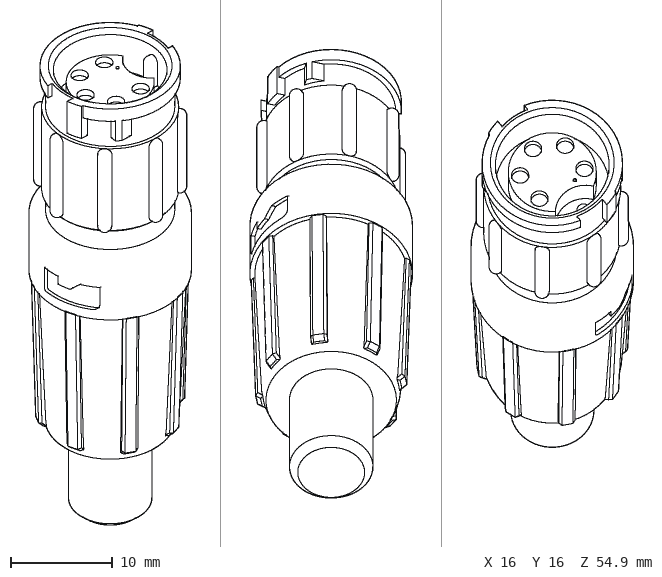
import cadquery as cq
import math

TOTAL_HEIGHT = 54.85
SLEEVE_BOTTOM = 10.7
COLLAR_BOTTOM = 29.35
COLLAR_TOP = 36.85
GRIP_BOTTOM = 39.15
GRIP_TOP = 49.75
RIM_BOTTOM = 53.3

CABLE_RADIUS = 4.1
CABLE_CHAMFER = 0.8

SLEEVE_END_RADIUS = 6.4
SLEEVE_LIP_RADIUS = 6.6
SLEEVE_LIP_HEIGHT = 0.5
SLEEVE_ROUND_HEIGHT = 1.4
SLEEVE_ROUND_BULGE = 0.05
SLEEVE_LOW_RADIUS = 6.85
SLEEVE_TOP_RADIUS = 7.5

SLEEVE_RIB_COUNT = 8
SLEEVE_RIB_ANGLE = 20
SLEEVE_RIB_BOTTOM = 11.7
SLEEVE_RIB_BEVEL = 0.5
SLEEVE_RIB_LOW_RADIUS = 7.45
SLEEVE_RIB_TOP_RADIUS = 7.9
SLEEVE_RIB_ROOT_RADIUS = 6.05
SLEEVE_RIB_WIDTH = 1.65
SLEEVE_RIB_EDGE_BEVEL = 0.3

COLLAR_RADIUS = 8.0
COLLAR_ROUND = 0.4
WINDOW_DEPTH = 0.4
WINDOW_LEFT = -0.6
WINDOW_RIGHT = 5.4
WINDOW_BOTTOM = 30.5
WINDOW_TOP = 33.35
WINDOW_NOTCH_LEFT = 1.3
WINDOW_NOTCH_RIGHT = 2.75
WINDOW_NOTCH_DEPTH = 1.0
WINDOW_SMALL_ROUND = 0.3
WINDOW_LARGE_ROUND = 0.65

NECK_RADIUS = 6.35
GRIP_RADIUS = 6.75
GRIP_CHAMFER = 0.4
GRIP_RIB_COUNT = 8
GRIP_RIB_RADIUS = 0.7
GRIP_RIB_REACH = 7.55
GRIP_RIB_LOW = 40.25
GRIP_RIB_HIGH = 49.05

RIM_RADIUS = 6.9
RIM_GAP_WIDTH = 3.1
STOP_BOTTOM = 50.85
STOP_WIDTH = 1.55
STOP_RADIUS = 7.1
SIDE_STOP_X = 5.9
SIDE_STOP_Y = 4.05

BORE_RADIUS = 5.6
BORE_CHAMFER = 0.5
BORE_FLOOR = 49.9
INSERT_RADIUS = 4.35
INSERT_TOP = 52.85
KEYWAY_RADIUS = 2.95
KEYWAY_CENTRE = 5.5
CONTACT_COUNT = 5
CONTACT_SPACING = 60
CONTACT_PITCH_RADIUS = 3.2
CONTACT_DIAMETER = 1.7
CONTACT_DEPTH = 0.7
MARK_X = -1.25
MARK_Y = 2.05
MARK_RADIUS = 0.15
MARK_DEPTH = 0.3
KEY_RADIUS = 0.65
KEY_CENTRE = 5.15
KEY_TOP = 53.3


def cylinder(radius, bottom, top):
    """Upright cylinder on the part axis."""
    return cq.Workplane("XY").workplane(offset=bottom).circle(radius).extrude(top - bottom)


def ring(inner, outer, bottom, top):
    """Upright tube on the part axis."""
    return cylinder(outer, bottom, top).cut(cylinder(inner, bottom, top))


def box(x_range, y_range, z_range):
    """Box between pairs of limits."""
    sizes = [high - low for low, high in (x_range, y_range, z_range)]
    corner = (x_range[0], y_range[0], z_range[0])
    return cq.Workplane("XY").box(*sizes, centered=False).translate(corner)


def turned(shape, angle):
    """Copy of a shape turned about the part axis."""
    return shape.rotate((0, 0, 0), (0, 0, 1), angle)


def make_body():
    """Turned body: cable, sleeve, collar, neck and gripping ring."""
    lip_top = SLEEVE_BOTTOM + SLEEVE_LIP_HEIGHT
    round_top = lip_top + SLEEVE_ROUND_HEIGHT
    round_middle = (
        (SLEEVE_LIP_RADIUS + SLEEVE_LOW_RADIUS) / 2 + SLEEVE_ROUND_BULGE,
        (lip_top + round_top) / 2,
    )
    round_offset = COLLAR_ROUND * (1 - math.sqrt(0.5))
    return (
        cq.Workplane("XZ")
        .moveTo(0, 0)
        .lineTo(CABLE_RADIUS - CABLE_CHAMFER, 0)
        .lineTo(CABLE_RADIUS, CABLE_CHAMFER)
        .lineTo(CABLE_RADIUS, SLEEVE_BOTTOM)
        .lineTo(SLEEVE_END_RADIUS, SLEEVE_BOTTOM)
        .lineTo(SLEEVE_LIP_RADIUS, lip_top)
        .threePointArc(round_middle, (SLEEVE_LOW_RADIUS, round_top))
        .lineTo(SLEEVE_TOP_RADIUS, COLLAR_BOTTOM)
        .lineTo(COLLAR_RADIUS, COLLAR_BOTTOM)
        .lineTo(COLLAR_RADIUS, COLLAR_TOP - COLLAR_ROUND)
        .threePointArc(
            (COLLAR_RADIUS - round_offset, COLLAR_TOP - round_offset),
            (COLLAR_RADIUS - COLLAR_ROUND, COLLAR_TOP),
        )
        .lineTo(NECK_RADIUS, COLLAR_TOP)
        .lineTo(NECK_RADIUS, GRIP_BOTTOM)
        .lineTo(GRIP_RADIUS, GRIP_BOTTOM + GRIP_CHAMFER)
        .lineTo(GRIP_RADIUS, GRIP_TOP)
        .lineTo(NECK_RADIUS, GRIP_TOP)
        .lineTo(NECK_RADIUS, TOTAL_HEIGHT)
        .lineTo(0, TOTAL_HEIGHT)
        .close()
        .revolve(360, (0, 0), (0, 1))
    )


def make_sleeve_rib():
    """One tapered sleeve rib along +X with bevelled outer edges and a sloping foot."""
    rib = (
        cq.Workplane("XZ")
        .moveTo(SLEEVE_RIB_ROOT_RADIUS, SLEEVE_RIB_BOTTOM)
        .lineTo(SLEEVE_RIB_LOW_RADIUS - SLEEVE_RIB_BEVEL, SLEEVE_RIB_BOTTOM)
        .lineTo(SLEEVE_RIB_LOW_RADIUS, SLEEVE_RIB_BOTTOM + SLEEVE_RIB_BEVEL)
        .lineTo(SLEEVE_RIB_TOP_RADIUS, COLLAR_BOTTOM)
        .lineTo(SLEEVE_RIB_ROOT_RADIUS, COLLAR_BOTTOM)
        .close()
        .extrude(SLEEVE_RIB_WIDTH / 2, both=True)
    )
    outer_edges = "(not |X) and (not |Y) and (not |Z)"
    return rib.edges(outer_edges).chamfer(SLEEVE_RIB_EDGE_BEVEL)


def make_grip_rib():
    """One round rib of the gripping ring with domed ends, on the +X side."""
    centre = GRIP_RIB_REACH - GRIP_RIB_RADIUS
    rib = cylinder(GRIP_RIB_RADIUS, GRIP_RIB_LOW, GRIP_RIB_HIGH)
    for height in (GRIP_RIB_LOW, GRIP_RIB_HIGH):
        rib = rib.union(cq.Workplane("XY").sphere(GRIP_RIB_RADIUS).translate((0, 0, height)))
    return rib.translate((centre, 0, 0))


def make_window():
    """Shallow recess in the -Y side of the collar."""
    notch_floor = WINDOW_TOP - WINDOW_NOTCH_DEPTH
    outline = (
        cq.Workplane("XZ")
        .moveTo(WINDOW_LEFT, WINDOW_BOTTOM)
        .lineTo(WINDOW_RIGHT, WINDOW_BOTTOM)
        .lineTo(WINDOW_RIGHT, WINDOW_TOP)
        .lineTo(WINDOW_NOTCH_RIGHT + WINDOW_NOTCH_DEPTH, WINDOW_TOP)
        .lineTo(WINDOW_NOTCH_RIGHT, notch_floor)
        .lineTo(WINDOW_NOTCH_LEFT, notch_floor)
        .lineTo(WINDOW_NOTCH_LEFT, WINDOW_TOP)
        .lineTo(WINDOW_LEFT, WINDOW_TOP)
        .close()
        .extrude(COLLAR_RADIUS)
    )
    outline = outline.edges("|Y and <X").edges("<Z").fillet(WINDOW_SMALL_ROUND)
    outline = outline.edges("|Y and >X").edges("<Z").fillet(WINDOW_LARGE_ROUND)
    skin = ring(COLLAR_RADIUS - WINDOW_DEPTH, COLLAR_RADIUS, COLLAR_BOTTOM, COLLAR_TOP)
    return outline.intersect(skin)


def make_rim():
    """Bayonet rim with a gap and two stops on the -Y side, repeated half a turn on."""
    half_gap = RIM_GAP_WIDTH / 2
    stop_heights = (STOP_BOTTOM, TOTAL_HEIGHT)
    gap = box((-half_gap, half_gap), (-RIM_RADIUS, 0), (RIM_BOTTOM, TOTAL_HEIGHT))
    gap_stop = box((half_gap, half_gap + STOP_WIDTH), (-STOP_RADIUS, 0), stop_heights)
    gap_stop = gap_stop.intersect(ring(NECK_RADIUS, STOP_RADIUS, *stop_heights))
    side_stop = box((0, SIDE_STOP_X), (-SIDE_STOP_Y, 0), stop_heights)
    side_stop = side_stop.intersect(ring(NECK_RADIUS, RIM_RADIUS, *stop_heights))
    rim = ring(NECK_RADIUS, RIM_RADIUS, RIM_BOTTOM, TOTAL_HEIGHT)
    for angle in (0, 180):
        rim = rim.cut(turned(gap, angle))
        rim = rim.union(turned(gap_stop, angle)).union(turned(side_stop, angle))
    return rim


def make_bore():
    """Socket cavity with a chamfered mouth."""
    mouth_radius = BORE_RADIUS + BORE_CHAMFER
    return (
        cq.Workplane("XZ")
        .moveTo(0, BORE_FLOOR)
        .lineTo(BORE_RADIUS, BORE_FLOOR)
        .lineTo(BORE_RADIUS, TOTAL_HEIGHT - BORE_CHAMFER)
        .lineTo(mouth_radius, TOTAL_HEIGHT)
        .lineTo(0, TOTAL_HEIGHT)
        .close()
        .revolve(360, (0, 0), (0, 1))
    )


def make_insert():
    """Contact insert with a keyway, contact holes and a small index mark."""
    insert = cylinder(INSERT_RADIUS, BORE_FLOOR, INSERT_TOP)
    keyway = cylinder(KEYWAY_RADIUS, BORE_FLOOR, INSERT_TOP).translate((0, KEYWAY_CENTRE, 0))
    insert = insert.cut(keyway)
    contact = cylinder(CONTACT_DIAMETER / 2, INSERT_TOP - CONTACT_DEPTH, INSERT_TOP)
    contact = contact.translate((0, -CONTACT_PITCH_RADIUS, 0))
    for index in range(CONTACT_COUNT):
        angle = (index - (CONTACT_COUNT - 1) / 2) * CONTACT_SPACING
        insert = insert.cut(turned(contact, angle))
    mark = cylinder(MARK_RADIUS, INSERT_TOP - MARK_DEPTH, INSERT_TOP)
    return insert.cut(mark.translate((MARK_X, MARK_Y, 0)))


def make_key():
    """Polarising key: a round-fronted bar on the +Y bore wall with a domed top."""
    dome_height = KEY_TOP - KEY_RADIUS
    reach = NECK_RADIUS - KEY_CENTRE
    front = cylinder(KEY_RADIUS, BORE_FLOOR, dome_height)
    dome = cq.Workplane("XY").sphere(KEY_RADIUS).translate((0, 0, dome_height))
    back = box((-KEY_RADIUS, KEY_RADIUS), (0, reach), (BORE_FLOOR, dome_height))
    crest = cq.Workplane("XZ").circle(KEY_RADIUS).extrude(-reach).translate((0, 0, dome_height))
    key = front.union(dome).union(back).union(crest).translate((0, KEY_CENTRE, 0))
    return key.intersect(cylinder((BORE_RADIUS + NECK_RADIUS) / 2, BORE_FLOOR, TOTAL_HEIGHT))


result = make_body()

sleeve_rib = make_sleeve_rib()
for index in range(SLEEVE_RIB_COUNT):
    result = result.union(turned(sleeve_rib, SLEEVE_RIB_ANGLE + index * 360 / SLEEVE_RIB_COUNT))

window = make_window()
for angle in (0, 180):
    result = result.cut(turned(window, angle))

grip_rib = make_grip_rib()
for index in range(GRIP_RIB_COUNT):
    result = result.union(turned(grip_rib, index * 360 / GRIP_RIB_COUNT))

result = result.union(make_rim())
result = result.cut(make_bore())
result = result.union(make_insert())
result = result.union(make_key())